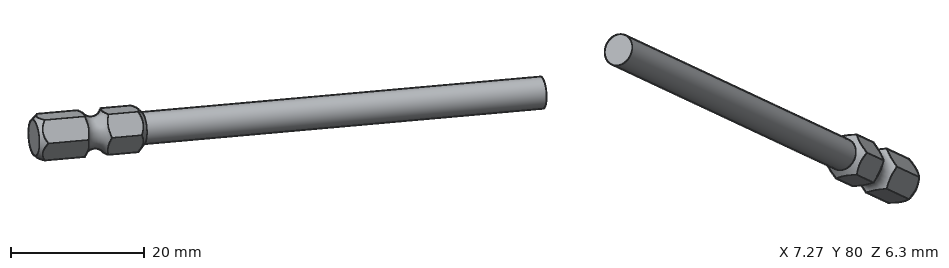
import cadquery as cq
import math

total_length = 80.0
shank_diameter = 4.9
hex_sides = 6
hex_across_flats = 6.3
hex_length = 17.0
end_face_diameter = 5.4
end_chamfer_length = 1.1
groove_center = 9.3
groove_bottom_diameter = 4.9
groove_arc_radius = 2.0

hex_across_corners = hex_across_flats / math.cos(math.pi / hex_sides)
corner_radius = hex_across_corners / 2
shank_radius = shank_diameter / 2
end_face_radius = end_face_diameter / 2
groove_bottom_radius = groove_bottom_diameter / 2
shoulder_chamfer = corner_radius - shank_radius
groove_depth = corner_radius - groove_bottom_radius
groove_half_width = math.sqrt(groove_arc_radius**2 - (groove_arc_radius - groove_depth) ** 2)


def make_hex_prism():
    """Hexagonal bar along +Y, with corners on X and flats facing up and down."""
    hexagon = cq.Workplane("XZ").polygon(hex_sides, hex_across_corners)
    return hexagon.extrude(-hex_length)


def make_turned_envelope():
    """Body of revolution that forms the end chamfer, retaining groove and shoulder cone."""
    profile = (
        cq.Workplane("XY")
        .moveTo(0, 0)
        .lineTo(end_face_radius, 0)
        .lineTo(corner_radius, end_chamfer_length)
        .lineTo(corner_radius, groove_center - groove_half_width)
        .threePointArc(
            (groove_bottom_radius, groove_center),
            (corner_radius, groove_center + groove_half_width),
        )
        .lineTo(corner_radius, hex_length - shoulder_chamfer)
        .lineTo(shank_radius, hex_length)
        .lineTo(0, hex_length)
        .close()
    )
    return profile.revolve(360, (0, 0, 0), (0, 1, 0))


def make_shank():
    """Plain round shank from the hex drive to the far end."""
    section = cq.Workplane("XZ", origin=(0, hex_length, 0)).circle(shank_radius)
    return section.extrude(-(total_length - hex_length))


hex_drive = make_hex_prism().intersect(make_turned_envelope())
result = hex_drive.union(make_shank())